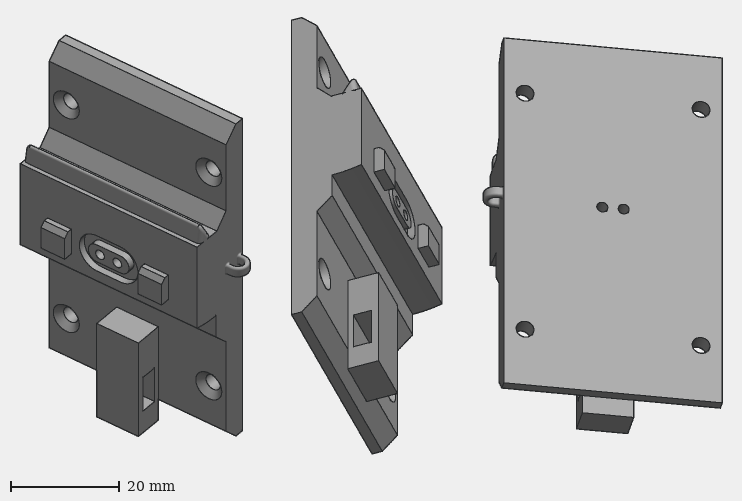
import cadquery as cq

total_height = 75.3
total_width = 44.3
total_depth = 15.9

plate_width = 41.0
plate_bottom = 1.9
plate_thickness = 5.05
end_chamfer = 3.0
tooth_depth = 2.0
block_depth = total_depth - tooth_depth
block_top = 53.8
upper_slope_depth = 7.8
upper_slope_rise = 3.0
block_front_bottom = 34.7
ledge_depth = 8.05
ledge_top = 34.0
ledge_bottom = 28.9
lower_slope_drop = 2.9

screw_diameter = 3.3
countersink_diameter = 6.0
countersink_angle = 90
screw_spacing_x = 33.0
screw_levels = (13.7, 63.9)

ridge_back = 9.6
ridge_apex = 12.2
ridge_front = 12.95
ridge_apex_height = 4.4
ridge_tip_radius = 0.45
ridge_end_radius = 1.0

tooth_bottom = 38.25
tooth_top = 44.05
tooth_chamfer = 1.0
tooth_width = 5.5
tooth_centers = (-11.4, 11.1)

connector_level = 41.2
recess_width = 13.55
recess_height = 8.3
recess_depth = 1.5
island_width = 9.4
island_height = 4.0
pin_diameter = 2.0
pin_spacing = 4.0

latch_width = 9.65
latch_top = 22.0
latch_depth = 6.1
window_back = 6.2
window_front = 9.7
window_bottom = 5.1
window_top = 13.0

loop_level = 42.9
loop_height = 2.1
loop_center_depth = 2.8
loop_outer_radius = 2.3
loop_wall = 1.05
loop_edge_radius = 0.45
loop_root_radius = 0.3


def extrude_along_x(profile, width):
    """Extrude a (depth, Z) sketch symmetrically about X = 0."""
    return profile.extrude(width / 2, both=True)


def side_sketch():
    """Sketch plane in Y and Z."""
    return cq.Workplane("YZ")


def front_sketch(depth, level):
    """Sketch plane facing -Y at the given depth and height."""
    return cq.Workplane("XZ", origin=(0, -depth, level))


def make_body():
    """Plate and stepped block; the block's underside is a shallow arc."""
    run = block_depth - ledge_depth
    rise = block_front_bottom - ledge_top
    arc_middle = (-ledge_depth - run / 2, ledge_top + rise / 4)
    chamfer_start = plate_thickness - end_chamfer
    profile = (
        side_sketch()
        .moveTo(0, plate_bottom)
        .lineTo(0, total_height)
        .lineTo(-chamfer_start, total_height)
        .lineTo(-plate_thickness, total_height - end_chamfer)
        .lineTo(-plate_thickness, block_top + upper_slope_rise)
        .lineTo(-upper_slope_depth, block_top)
        .lineTo(-block_depth, block_top)
        .lineTo(-block_depth, block_front_bottom)
        .threePointArc(arc_middle, (-ledge_depth, ledge_top))
        .lineTo(-ledge_depth, ledge_bottom)
        .lineTo(-plate_thickness, ledge_bottom - lower_slope_drop)
        .lineTo(-plate_thickness, plate_bottom + end_chamfer)
        .lineTo(-chamfer_start, plate_bottom)
        .close()
    )
    return extrude_along_x(profile, plate_width)


def make_ridge():
    """Triangular ridge with a rounded tip and rounded ends."""
    profile = (
        side_sketch()
        .moveTo(-ridge_back, block_top)
        .lineTo(-ridge_apex, block_top + ridge_apex_height)
        .lineTo(-ridge_front, block_top)
        .close()
    )
    ridge = extrude_along_x(profile, plate_width)
    ridge = ridge.edges(">Z").fillet(ridge_tip_radius)
    return ridge.faces("<X or >X").edges("not |Y").fillet(ridge_end_radius)


def make_tooth(center):
    """Rectangular tooth with a chamfered upper front edge."""
    profile = (
        side_sketch()
        .moveTo(-block_depth, tooth_bottom)
        .lineTo(-block_depth, tooth_top)
        .lineTo(-total_depth + tooth_chamfer, tooth_top)
        .lineTo(-total_depth, tooth_top - tooth_chamfer)
        .lineTo(-total_depth, tooth_bottom)
        .close()
    )
    return extrude_along_x(profile, tooth_width).translate((center, 0, 0))


def make_latch():
    """Block with a rectangular window through it along X."""
    latch = (
        side_sketch()
        .moveTo(-plate_thickness, 0)
        .rect(-latch_depth, latch_top, centered=False)
    )
    window = (
        side_sketch()
        .moveTo(-window_back, window_bottom)
        .rect(window_back - window_front, window_top - window_bottom, centered=False)
    )
    return extrude_along_x(latch, latch_width).cut(extrude_along_x(window, latch_width))


def loop_slot(reach, radius):
    """Upright stadium centered on the plate's right side and reaching out from it."""
    return (
        cq.Workplane("XY", origin=(plate_width / 2, -loop_center_depth, loop_level))
        .slot2D(2 * reach, 2 * radius)
        .extrude(loop_height / 2, both=True)
    )


def make_loop():
    """Stadium ring with rounded edges; its left half is buried in the body."""
    outer_reach = total_width - plate_width
    inner_reach = outer_reach - loop_wall
    ring = loop_slot(outer_reach, loop_outer_radius)
    ring = ring.cut(loop_slot(inner_reach, loop_outer_radius - loop_wall))
    return ring.faces(">Z or <Z").edges().fillet(loop_edge_radius)


def loop_root_edges():
    """Select the edges where the loop meets the plate's right side."""
    margin = 0.1
    side = plate_width / 2
    return cq.selectors.BoxSelector(
        (side - margin, -loop_center_depth - loop_outer_radius - margin, loop_level - loop_height),
        (side + margin, -loop_center_depth + loop_outer_radius + margin, loop_level + loop_height),
    )


def make_connector_cut():
    """Oval groove around a flush island, plus two pin holes through the part."""
    face = front_sketch(block_depth, connector_level)
    recess = face.slot2D(recess_width, recess_height).extrude(-recess_depth)
    island = face.slot2D(island_width, island_height).extrude(-recess_depth)
    pins = (
        face.pushPoints([(-pin_spacing / 2, 0), (pin_spacing / 2, 0)])
        .circle(pin_diameter / 2)
        .extrude(-block_depth)
    )
    return recess.cut(island).union(pins)


def drill_screw_holes(part):
    points = [(side * screw_spacing_x / 2, level) for side in (-1, 1) for level in screw_levels]
    return (
        part.copyWorkplane(front_sketch(plate_thickness, 0))
        .pushPoints(points)
        .cskHole(screw_diameter, countersink_diameter, countersink_angle)
    )


part = make_body().union(make_loop())
part = part.edges(loop_root_edges()).fillet(loop_root_radius)
part = part.union(make_ridge()).union(make_latch())
for center in tooth_centers:
    part = part.union(make_tooth(center))
part = part.cut(make_connector_cut())
result = drill_screw_holes(part)